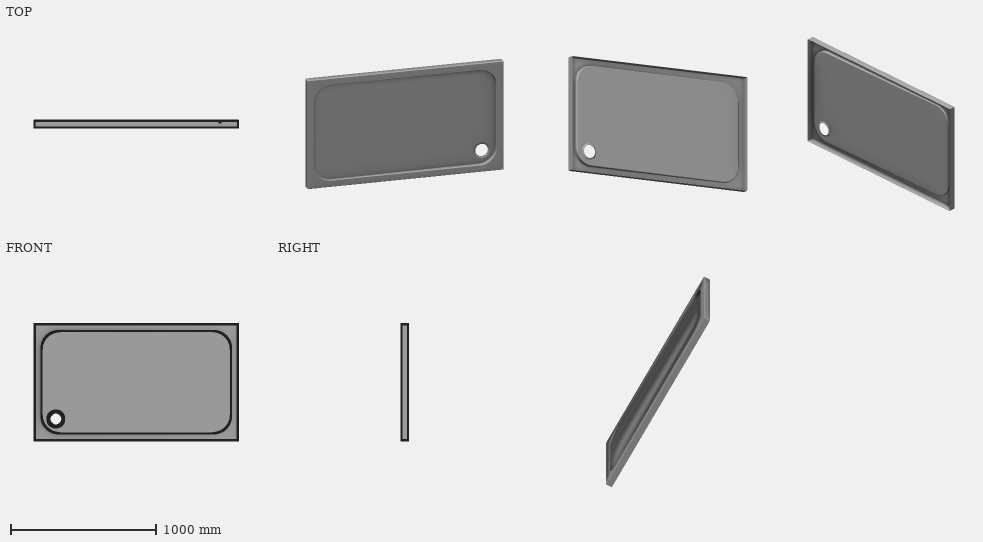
import cadquery as cq
import math

LENGTH = 1400.0
DEPTH = 48.0
WIDTH = 800.0
SHELL = 2.0

BEND_RADIUS = 4.0
TIGHT_RADIUS = BEND_RADIUS - SHELL
WIDE_RADIUS = BEND_RADIUS + SHELL

BASIN_MARGIN = 50.0
BASIN_CORNER_RADIUS = 120.0
BASIN_LENGTH = LENGTH - 2 * BASIN_MARGIN
BASIN_WIDTH = WIDTH - 2 * BASIN_MARGIN
SHALLOW_DROP = 9.0
DEEP_DROP = 31.0
MID_DROP = (SHALLOW_DROP + DEEP_DROP) / 2
FLOOR_SLOPE = math.atan2(DEEP_DROP - SHALLOW_DROP, BASIN_LENGTH)

DRAIN_INSET = 147.0
DRAIN_HOLE_DIAMETER = 90.0
DISH_RADIUS = 57.5
DISH_RUN = 10.0
DISH_DROP = 5.0

UNDERSIDE = DEPTH - SHELL
DRAIN_X = DRAIN_INSET - LENGTH / 2
DRAIN_Z = DRAIN_INSET - WIDTH / 2
DRAIN_FLOOR_DROP = MID_DROP - DRAIN_X * math.tan(FLOOR_SLOPE)


def floor_plane(x, y, z):
    """Plane parallel to the basin floor at a point, its normal pointing out of the underside."""
    along = (math.cos(FLOOR_SLOPE), math.sin(FLOOR_SLOPE), 0)
    out = (math.sin(FLOOR_SLOPE), -math.cos(FLOOR_SLOPE), 0)
    return cq.Plane(origin=(x, y, z), xDir=along, normal=out)


def rounded_box(top, length, width, height, corner_radius, edge_radius):
    """Box from height top down toward -Y, with rounded upright corners and rounded +Y edges."""
    box = cq.Workplane("XZ", origin=(0, top, 0)).rect(length, width).extrude(height)
    return box.edges("|Y").fillet(corner_radius).faces(">Y").edges().fillet(edge_radius)


def make_rim():
    """Flat plate with a skirt all round and a hollow underside."""
    outside = rounded_box(DEPTH, LENGTH, WIDTH, DEPTH, BEND_RADIUS, BEND_RADIUS)
    inside = rounded_box(
        UNDERSIDE, LENGTH - 2 * SHELL, WIDTH - 2 * SHELL, UNDERSIDE, TIGHT_RADIUS, TIGHT_RADIUS
    )
    return outside.cut(inside)


def basin_form(top, growth, floor_radius):
    """Solid filling the basin from height top to its sloping floor, widened all round by growth."""
    outline = cq.Sketch().rect(BASIN_LENGTH + 2 * growth, BASIN_WIDTH + 2 * growth)
    outline = outline.vertices().fillet(BASIN_CORNER_RADIUS + growth)
    prism = cq.Workplane("XZ", origin=(0, top, 0)).placeSketch(outline).extrude(DEPTH)
    floor = cq.Workplane(floor_plane(0, top - MID_DROP, 0))
    below_floor = floor.rect(2 * LENGTH, 2 * WIDTH).extrude(2 * DEPTH)
    return prism.cut(below_floor).faces("<Y").edges().fillet(floor_radius)


def blend_basin_edge(tray, y, radius):
    """Round the edge where the basin sides meet the flat rim at height y."""
    half_length = LENGTH / 2 - BASIN_MARGIN / 2
    half_width = WIDTH / 2 - BASIN_MARGIN / 2
    tolerance = 0.01
    around_basin = cq.selectors.BoxSelector(
        (-half_length, y - tolerance, -half_width), (half_length, y + tolerance, half_width)
    )
    return tray.edges(around_basin).fillet(radius)


def add_basin(tray):
    """Press the basin into the plate, keeping the sheet thickness."""
    tray = tray.union(basin_form(UNDERSIDE, SHELL, WIDE_RADIUS))
    tray = blend_basin_edge(tray, UNDERSIDE, TIGHT_RADIUS)
    tray = tray.cut(basin_form(DEPTH, 0, BEND_RADIUS))
    return blend_basin_edge(tray, DEPTH, BEND_RADIUS)


def drain_workplane():
    """Workplane on the underside of the basin floor, centred on the drain."""
    return cq.Workplane(floor_plane(DRAIN_X, UNDERSIDE - DRAIN_FLOOR_DROP, DRAIN_Z))


def dish_form(lift, radius):
    """Truncated cone around the drain, its wide end lifted from the floor underside toward +Y."""
    base = drain_workplane().workplane(offset=-lift)
    return base.circle(radius).workplane(offset=DISH_DROP).circle(radius - DISH_RUN).loft()


def add_drain(tray):
    """Press the conical dish into the basin floor and pierce the drain hole."""
    bend_shift = SHELL * math.tan(math.atan2(DISH_DROP, DISH_RUN) / 2)
    tray = tray.union(dish_form(0, DISH_RADIUS))
    tray = tray.cut(dish_form(SHELL, DISH_RADIUS - bend_shift))
    hole = drain_workplane().circle(DRAIN_HOLE_DIAMETER / 2).extrude(DEPTH, both=True)
    return tray.cut(hole)


result = add_drain(add_basin(make_rim()))